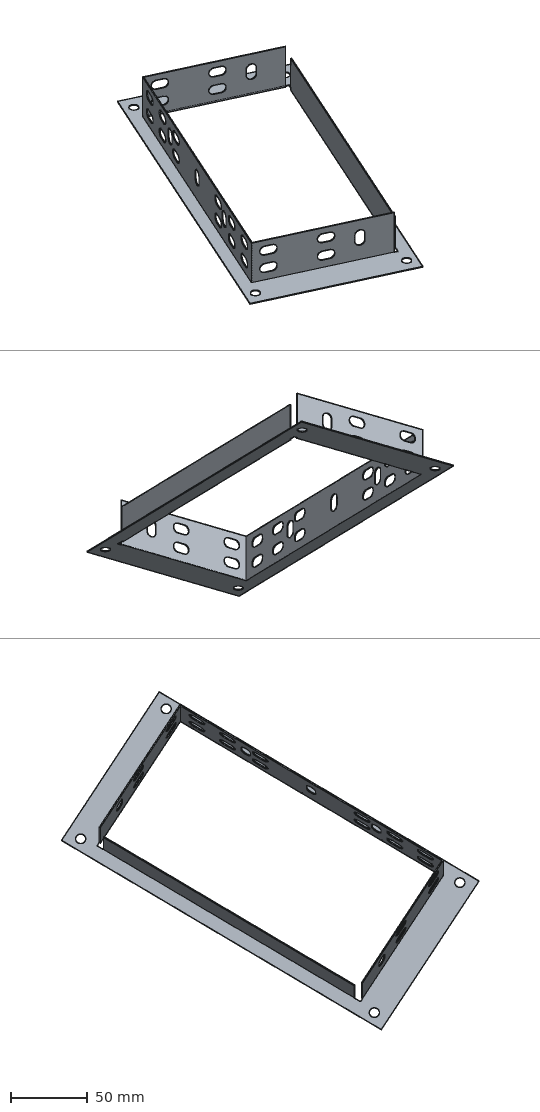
import cadquery as cq

sheet = 0.8
flange_length = 245.0
flange_width = 120.0
mount_hole_diameter = 6.5
mount_hole_pitch_x = 225.0
mount_hole_pitch_y = 105.0

total_height = 32.0
window_length = 201.8
window_width = 101.8
back_wall_height = 25.1
back_wall_length = 192.0
side_wall_gap = 2.6

slot_length = 12.0
slot_width = 7.0
front_slot_rows = (9.6, 24.0)
side_slot_rows = (10.0, 23.8)
upright_slot_height = 18.0
front_slot_offsets = (39.0, 64.0, 87.5)
front_upright_slots = (-50.0, 0.0, 50.0)
side_slots = (-39.0, 1.0)
side_upright_slot = 24.5


def box_between(x_range, y_range, height):
    """Box standing on the ground plane over the given X and Y ranges."""
    length = x_range[1] - x_range[0]
    width = y_range[1] - y_range[0]
    return (
        cq.Workplane("XY")
        .box(length, width, height, centered=False)
        .translate((x_range[0], y_range[0], 0))
    )


def make_flange():
    return (
        cq.Workplane("XY")
        .rect(flange_length, flange_width)
        .rect(window_length, window_width)
        .extrude(sheet)
        .faces(">Z")
        .workplane()
        .rect(mount_hole_pitch_x, mount_hole_pitch_y, forConstruction=True)
        .vertices()
        .hole(mount_hole_diameter)
    )


def cut_slots(wall, plane, across, rows, reach):
    """Cut level slots at each centre in across, at every height in rows, through a depth of 2 * reach."""
    centres = [(place, height) for place in across for height in rows]
    cutter = cq.Workplane(plane).pushPoints(centres).slot2D(slot_length, slot_width)
    return wall.cut(cutter.extrude(reach, both=True))


def cut_upright_slots(wall, plane, across, reach):
    """Cut one row of upright slots, through a depth of 2 * reach."""
    centres = [(place, upright_slot_height) for place in across]
    cutter = cq.Workplane(plane).pushPoints(centres).slot2D(slot_length, slot_width, 90)
    return wall.cut(cutter.extrude(reach, both=True))


def make_front_wall():
    half = window_length / 2
    outer = -window_width / 2
    wall = box_between((-half, half), (outer, outer + sheet), total_height)
    across = [side * offset for side in (-1, 1) for offset in front_slot_offsets]
    wall = cut_slots(wall, "XZ", across, front_slot_rows, flange_width)
    return cut_upright_slots(wall, "XZ", front_upright_slots, flange_width)


def make_side_walls():
    outer = window_length / 2
    y_range = (-window_width / 2, window_width / 2 - side_wall_gap)
    left = box_between((-outer, sheet - outer), y_range, total_height)
    right = box_between((outer - sheet, outer), y_range, total_height)
    walls = cut_slots(left.union(right), "YZ", side_slots, side_slot_rows, flange_length)
    return cut_upright_slots(walls, "YZ", (side_upright_slot,), flange_length)


def make_back_wall():
    half = back_wall_length / 2
    outer = window_width / 2
    return box_between((-half, half), (outer - sheet, outer), back_wall_height)


result = make_flange().union(make_front_wall()).union(make_side_walls()).union(make_back_wall())